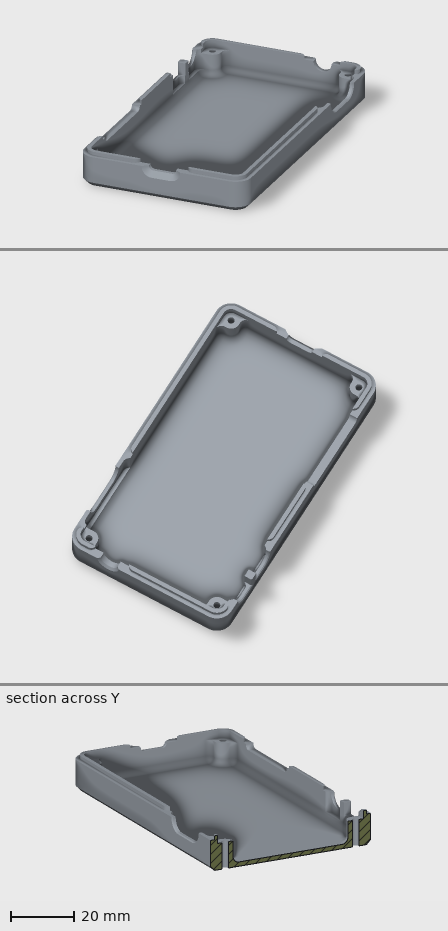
import cadquery as cq
import math

width = 57.4
length = 99.55
height = 11.6
lip_height = 1.3
rim_z = height - lip_height
corner_radius = 5.4
base_chamfer = 1.6

wall = 2.7
lip_inset = wall / 2
floor_z = 1.6
floor_fillet = 2.0
ledge_z = floor_z + floor_fillet
half_w = width / 2
half_l = length / 2
lip_x = half_w - lip_inset
lip_y = half_l - lip_inset
cavity_x = half_w - wall
cavity_y = half_l - wall

boss_top_z = 9.0
boss_radius = 2.9
boss_blend = 2.0
screw_diameter = 2.2
screw_x = half_w - corner_radius
screw_y = half_l - corner_radius
boss_edge_x = screw_x - boss_radius
boss_edge_y = screw_y - boss_radius

end_round = 2.0
lip_side_end_y = 43.0
lip_back_left_end = 7.3
lip_back_right_end = 19.3
lip_front_end = 8.2
lip_right_end_y = 12.6
lip_left_mid = (-5.5, 17.6)
lip_left_front_end_y = -35.6

slot_depth = 4.1
slot_chamfer = 0.35
left_slot = (20.4, 40.4)
right_slot = (18.9, 36.5)
rib = (29.1, 31.8)
left_recess_end = 19.1
right_recess_end = 13.8
right_recess_round = 2.5

notch = (-34.1, -6.8)
notch_depth = 1.6

port_half_flat = 3.2
port_radius = 1.5
port_flare = 2.0

cable_x = 13.3
cable_radius = 3.1
cable_chamfer = 0.8


def block(x_range, y_range, z_range):
    """Box given by its limits along each axis."""
    limits = (x_range, y_range, z_range)
    sizes = [max(pair) - min(pair) for pair in limits]
    corner = tuple(min(pair) for pair in limits)
    return cq.Workplane("XY").box(*sizes, centered=False).translate(corner)


def rounded_plate(half_x, half_y, radius, z_range):
    """Plate centred on the Z axis with rounded vertical edges."""
    plate = block((-half_x, half_x), (-half_y, half_y), z_range)
    return plate.edges("|Z").fillet(radius)


def make_shell():
    """Solid tray body up to the rim, with its bottom edge chamfered."""
    shell = rounded_plate(half_w, half_l, corner_radius, (0, rim_z))
    return shell.faces("<Z").edges().chamfer(base_chamfer)


def make_lip():
    """Broken ring on the inner half of the rim, each piece with rounded ends."""
    lip_z = (rim_z, height)
    ring = rounded_plate(lip_x, lip_y, corner_radius - lip_inset, lip_z)
    pieces = [
        ((-lip_x, lip_back_left_end), (lip_side_end_y, lip_y)),
        ((lip_back_right_end, lip_x), (lip_side_end_y, lip_y)),
        ((-lip_x, 0), lip_left_mid),
        ((-lip_x, -lip_front_end), (-lip_y, lip_left_front_end_y)),
        ((lip_front_end, lip_x), (-lip_y, lip_right_end_y)),
    ]
    lip = cq.Workplane("XY")
    for x_range, y_range in pieces:
        piece = block(x_range, y_range, lip_z).edges("|Z").fillet(end_round)
        lip = lip.add(ring.intersect(piece))
    return lip.combine()


def make_cavity():
    """Interior space: a filleted well around the bosses, open above them."""
    well_z = (floor_z, height)
    well = rounded_plate(cavity_x, boss_edge_y, boss_blend, well_z)
    well = well.union(rounded_plate(boss_edge_x, cavity_y, boss_blend, well_z))
    reach_x = boss_edge_x + boss_blend / 4
    reach_y = boss_edge_y + boss_blend / 4
    boss_corners = cq.selectors.BoxSelector((-reach_x, -reach_y, 0), (reach_x, reach_y, height))
    well = well.edges("|Z").edges(boss_corners).fillet(boss_radius)
    well = well.faces("<Z").edges().fillet(floor_fillet)
    headroom = rounded_plate(cavity_x, cavity_y, corner_radius - wall, (boss_top_z, height))
    return well.union(headroom)


def make_recess(side, y_range, rounds):
    """Pocket in the inner half of a side wall; rounds are the (front, back) corner radii."""
    recess = block((side * boss_edge_x, side * lip_x), y_range, (ledge_z, rim_z))
    wall_side = ">X" if side > 0 else "<X"
    for end, radius in zip(("<Y", ">Y"), rounds):
        recess = recess.edges("|Z").edges(wall_side).edges(end).fillet(radius)
    return recess


def make_opening(face, half_flat, radius, bevel=0, bevel_depth=0):
    """Tunnel from an outer wall face through the wall, centred on the origin of the face plane.

    Its outline is a stadium, or a circle when half_flat is 0. The outline grows by bevel
    towards the outer face, over bevel_depth.
    """

    def outline(grow):
        size = 2 * (radius + grow)
        if half_flat == 0:
            return face.circle(size / 2)
        return face.slot2D(2 * half_flat + size, size)

    tunnel = outline(0).extrude(-wall)
    if bevel == 0:
        return tunnel
    taper = math.degrees(math.atan(bevel / bevel_depth))
    return tunnel.union(outline(bevel).extrude(-bevel_depth, taper=taper))


def side_face(side, y_range):
    """Plane on a side wall, at rim height and midway along y_range."""
    middle = sum(y_range) / 2
    return cq.Workplane(cq.Plane((side * half_w, middle, rim_z), xDir=(0, 1, 0), normal=(side, 0, 0)))


def end_face(side, x_position):
    """Plane on the front or back wall, at rim height."""
    return cq.Workplane(cq.Plane((x_position, side * half_l, rim_z), xDir=(1, 0, 0), normal=(0, side, 0)))


def half_flat_of(y_range, radius):
    """Half the straight length of a stadium that fills y_range."""
    return (y_range[1] - y_range[0]) / 2 - radius


def make_slot(side, y_range):
    """Side slot whose rounded corners take its full depth, with a bevelled outer edge."""
    flat = half_flat_of(y_range, slot_depth)
    return make_opening(side_face(side, y_range), flat, slot_depth, slot_chamfer, slot_chamfer)


def make_rib():
    """Post left standing in the left slot, with bevelled outer edges."""
    post = block((-half_w, -cavity_x), rib, (ledge_z, rim_z))
    return post.edges("|Z and <X").chamfer(slot_chamfer)


def make_screw_holes():
    centres = cq.Workplane("XY").rect(2 * screw_x, 2 * screw_y, forConstruction=True).vertices()
    return centres.circle(screw_diameter / 2).extrude(height)


result = make_shell().union(make_lip()).cut(make_cavity())

for y_range in ((left_recess_end, rib[0]), (rib[1], boss_edge_y)):
    result = result.cut(make_recess(-1, y_range, (end_round, end_round)))
result = result.cut(make_slot(-1, left_slot).cut(make_rib()))
result = result.cut(make_opening(side_face(-1, notch), half_flat_of(notch, notch_depth), notch_depth))

result = result.cut(make_recess(1, (right_recess_end, boss_edge_y), (right_recess_round, end_round)))
result = result.cut(make_slot(1, right_slot))

result = result.cut(make_opening(end_face(-1, 0), port_half_flat, port_radius, port_flare, wall - lip_inset))
result = result.cut(make_opening(end_face(1, cable_x), 0, cable_radius, cable_chamfer, cable_chamfer))

result = result.cut(make_screw_holes())